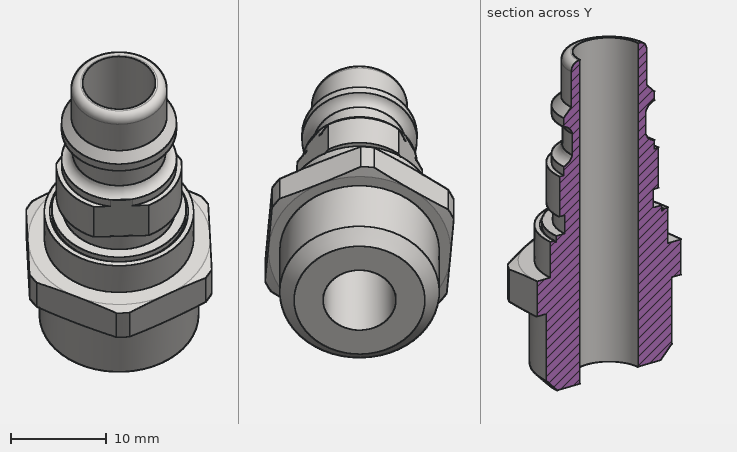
import cadquery as cq
import math

bore_diameter = 7.6
tip_diameter = 10.0
groove_diameter = 9.75
collar_diameter = 12.0
neck_diameter = 11.8
grip_diameter = 13.1
step_diameter = 14.0
recess_mouth_diameter = 14.45
body_diameter = 15.6
thread_diameter = 16.65

thread_chamfer = 1.5
hex_bottom = 8.98
hex_top = 13.0
body_top = 17.0
step_top = 17.5
grip_bottom = 19.5
grip_top = 24.05
lower_collar_top = 25.05
groove_bottom = 26.05
groove_top = 28.47
upper_collar_bottom = 29.5
upper_collar_top = 30.5
tip_bottom = 31.5
total_height = 36.5

tip_rounding = 1.0
groove_flare_radius = 1.5

recess_depth = (recess_mouth_diameter - step_diameter) / 2

hex_across_flats = 19.0
hex_corner_diameter = 21.2
hex_corner_drop = 0.2

flat_distance = neck_diameter / 2
flat_angles = (90, 210, 330)


def flare_midpoint(start, end, radius):
    """Middle of a concave arc, bowed to the left of the line from start to end."""
    dx = end[0] - start[0]
    dz = end[1] - start[1]
    chord = math.hypot(dx, dz)
    sagitta = radius - math.sqrt(radius**2 - chord**2 / 4)
    return (
        (start[0] + end[0]) / 2 - dz / chord * sagitta,
        (start[1] + end[1]) / 2 + dx / chord * sagitta,
    )


def turned_body():
    """Revolved outside of the nipple without its hexagon and flats."""
    lower_flare = (
        (collar_diameter / 2, lower_collar_top),
        (groove_diameter / 2, groove_bottom),
    )
    upper_flare = (
        (groove_diameter / 2, groove_top),
        (collar_diameter / 2, upper_collar_bottom),
    )
    tip_radius = tip_diameter / 2
    tip_arc_inset = tip_rounding * (1 - math.sqrt(0.5))
    profile = (
        cq.Workplane("XZ")
        .lineTo(thread_diameter / 2 - thread_chamfer, 0)
        .lineTo(thread_diameter / 2, thread_chamfer)
        .lineTo(thread_diameter / 2, hex_bottom)
        .lineTo(body_diameter / 2, hex_bottom)
        .lineTo(body_diameter / 2, body_top)
        .lineTo(recess_mouth_diameter / 2, body_top)
        .lineTo(step_diameter / 2, body_top - recess_depth)
        .lineTo(step_diameter / 2, step_top)
        .lineTo(neck_diameter / 2, step_top)
        .lineTo(neck_diameter / 2, grip_bottom)
        .lineTo(grip_diameter / 2, grip_bottom)
        .lineTo(grip_diameter / 2, grip_top)
        .lineTo(collar_diameter / 2, grip_top)
        .lineTo(*lower_flare[0])
        .threePointArc(flare_midpoint(*lower_flare, groove_flare_radius), lower_flare[1])
        .lineTo(*upper_flare[0])
        .threePointArc(flare_midpoint(*upper_flare, groove_flare_radius), upper_flare[1])
        .lineTo(collar_diameter / 2, upper_collar_top)
        .lineTo(tip_radius, tip_bottom)
        .lineTo(tip_radius, total_height - tip_rounding)
        .threePointArc(
            (tip_radius - tip_arc_inset, total_height - tip_arc_inset),
            (tip_radius - tip_rounding, total_height),
        )
        .lineTo(0, total_height)
        .close()
    )
    return profile.revolve(360, (0, 0, 0), (0, 1, 0))


def hexagon():
    """Hexagon with corners on the Y axis, turned round and chamfered at both faces."""
    prism = (
        cq.Workplane("XY", origin=(0, 0, hex_bottom))
        .polygon(6, hex_across_flats, circumscribed=True)
        .extrude(hex_top - hex_bottom)
    )
    corner_envelope = (
        cq.Workplane("XZ")
        .moveTo(0, hex_bottom)
        .lineTo(hex_across_flats / 2, hex_bottom)
        .lineTo(hex_corner_diameter / 2, hex_bottom + hex_corner_drop)
        .lineTo(hex_corner_diameter / 2, hex_top - hex_corner_drop)
        .lineTo(hex_across_flats / 2, hex_top)
        .lineTo(0, hex_top)
        .close()
        .revolve(360, (0, 0, 0), (0, 1, 0))
    )
    return prism.intersect(corner_envelope)


def wrench_flat_cutter(angle):
    """Block that removes everything beyond one wrench flat."""
    block = cq.Workplane("XY", origin=(flat_distance, 0, grip_bottom)).box(
        grip_diameter,
        grip_diameter,
        lower_collar_top - grip_bottom,
        centered=(False, True, False),
    )
    return block.rotate((0, 0, 0), (0, 0, 1), angle)


nipple = turned_body()
for flat_angle in flat_angles:
    nipple = nipple.cut(wrench_flat_cutter(flat_angle))

bore = cq.Workplane("XY").circle(bore_diameter / 2).extrude(total_height)
result = nipple.union(hexagon()).cut(bore)